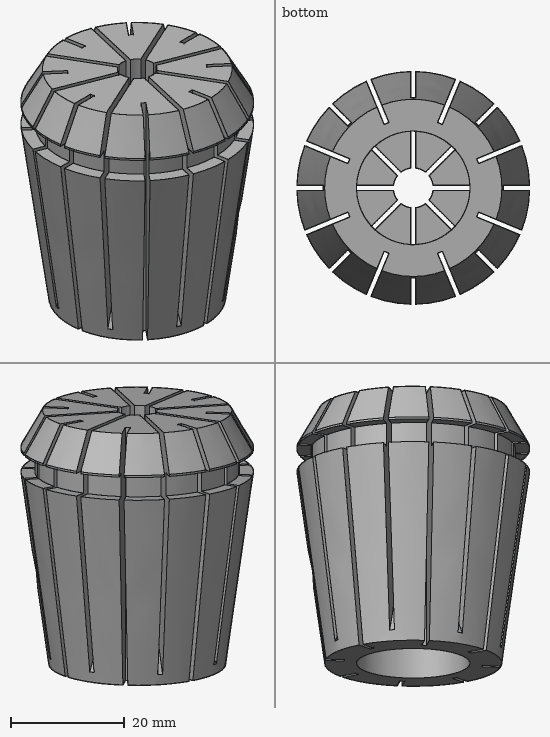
import cadquery as cq
import math


height = 46.0
max_radius = 41.0 / 2
body_taper = math.radians(8)
nose_taper = math.radians(30)
body_top_z = 34.85
groove_top_z = 39.0
rim_height = 0.35
groove_radius = 18.05

bore_radius = 3.5
relief_radius = 10.0
relief_depth = 32.2

slot_width = 0.87
slots_per_set = 8
slot_pitch = 360 / slots_per_set
nose_slot_bottom_z = 1.95
nose_slot_inner_z = 15.82
cutter_radius = 40.0
tail_slot_inner_radius = 12.3
clearance = 2.3

rim_z = groove_top_z + rim_height


def body_radius(z):
    """Radius of the lower cone at height z."""
    return max_radius - (body_top_z - z) * math.tan(body_taper)


def make_body():
    """Revolved outside: lower cone, groove, rim and upper cone."""
    nose_radius = max_radius - (height - rim_z) * math.tan(nose_taper)
    profile = (
        cq.Workplane("XZ")
        .lineTo(body_radius(0), 0)
        .lineTo(max_radius, body_top_z)
        .lineTo(groove_radius, body_top_z)
        .lineTo(groove_radius, groove_top_z)
        .lineTo(max_radius, groove_top_z)
        .lineTo(max_radius, rim_z)
        .lineTo(nose_radius, height)
        .lineTo(0, height)
        .close()
    )
    return profile.revolve(360, (0, 0, 0), (0, 1, 0))


def make_bore():
    """Clamping bore with the relief bore below it."""
    clamping_bore = cq.Workplane("XY").circle(bore_radius).extrude(height)
    relief_bore = cq.Workplane("XY").circle(relief_radius).extrude(relief_depth)
    return clamping_bore.union(relief_bore)


def make_nose_slot():
    """Slot along +X, open at the nose, with a concave floor left by a round saw."""
    inner = (relief_radius, nose_slot_inner_z)
    outer = (body_radius(nose_slot_bottom_z), nose_slot_bottom_z)
    chord_x = outer[0] - inner[0]
    chord_z = outer[1] - inner[1]
    half_chord = math.hypot(chord_x, chord_z) / 2
    sagitta = cutter_radius - math.sqrt(cutter_radius**2 - half_chord**2)
    floor_middle = (
        (inner[0] + outer[0]) / 2 + sagitta * chord_z / (2 * half_chord),
        (inner[1] + outer[1]) / 2 - sagitta * chord_x / (2 * half_chord),
    )
    return (
        cq.Workplane("XZ")
        .moveTo(0, nose_slot_inner_z)
        .lineTo(*inner)
        .threePointArc(floor_middle, outer)
        .lineTo(max_radius + clearance, nose_slot_bottom_z)
        .lineTo(max_radius + clearance, height + clearance)
        .lineTo(0, height + clearance)
        .close()
        .extrude(slot_width / 2, both=True)
    )


def make_tail_slot():
    """Full-height slot along +X that stops short of the relief bore."""
    length = max_radius + clearance - tail_slot_inner_radius
    return (
        cq.Workplane("XY")
        .box(length, slot_width, height, centered=(False, True, False))
        .translate((tail_slot_inner_radius, 0, 0))
    )


def cut_around_axis(part, cutter, first_angle):
    """Cut one set of evenly spaced slots around the Z axis."""
    for index in range(slots_per_set):
        angle = first_angle + index * slot_pitch
        part = part.cut(cutter.rotate((0, 0, 0), (0, 0, 1), angle))
    return part


result = make_body().cut(make_bore())
result = cut_around_axis(result, make_nose_slot(), 0)
result = cut_around_axis(result, make_tail_slot(), slot_pitch / 2)